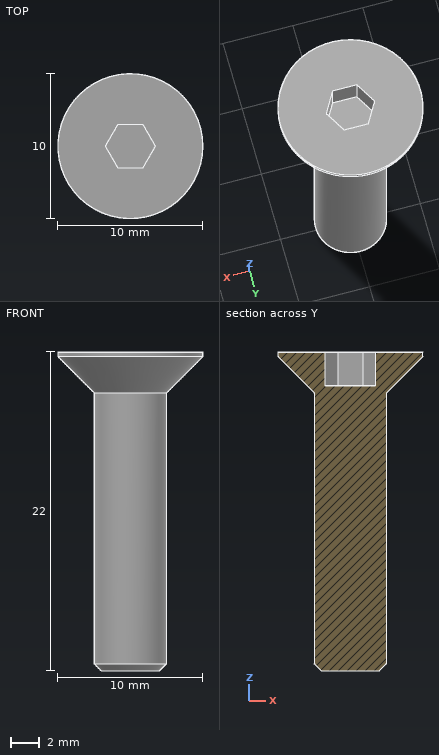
import cadquery as cq
import math

length = 22.0
head_diameter = 10.0
shank_diameter = head_diameter / 2
rim_height = 0.3
tip_chamfer = 0.5
socket_across_flats = 3.0
socket_depth = 2.3

head_radius = head_diameter / 2
shank_radius = shank_diameter / 2
cone_height = head_radius - shank_radius
rim_bottom = length - rim_height
cone_bottom = rim_bottom - cone_height


def make_body():
    """Revolve the half profile of the shank and head about Z."""
    profile = [
        (0, 0),
        (shank_radius - tip_chamfer, 0),
        (shank_radius, tip_chamfer),
        (shank_radius, cone_bottom),
        (head_radius, rim_bottom),
        (head_radius, length),
        (0, length),
    ]
    return cq.Workplane("XZ").polyline(profile).close().revolve(360, (0, 0), (0, 1))


def make_socket():
    """Hexagonal pocket tool with two corners on the X axis."""
    across_corners = socket_across_flats / math.cos(math.pi / 6)
    return (
        cq.Workplane("XY")
        .workplane(offset=length - socket_depth)
        .polygon(6, across_corners)
        .extrude(socket_depth)
    )


result = make_body().cut(make_socket())